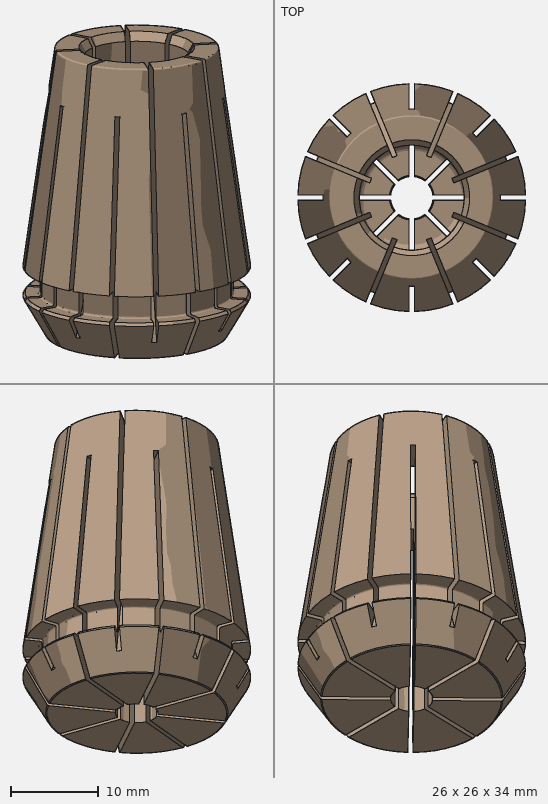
import cadquery as cq
import math

length = 34.0
max_radius = 13.0

nose_half_angle = 30.0
rim_height = 4.6
rim_chamfer = 0.27
nose_edge_chamfer = 0.1

groove_radius = 11.0
groove_bottom = 4.93
groove_top = 8.1
groove_corner_radius = 0.25

taper_half_angle = 8.0
back_edge_radius = 0.25

bore_radius = 2.4
bore_chamfer = 0.15
counterbore_radius = 6.0
counterbore_floor = 19.55
counterbore_corner_radius = 0.75
mouth_radius = 6.6
mouth_depth = 1.02

slot_count = 8
slot_width = 0.58
front_slot_top = 28.53
back_slot_exit_height = 2.25
back_slot_floor_radius = 5.05
cut_margin = 1.7


def nose_radius(height):
    """Outer radius of the nose cone at a height below the rim."""
    return max_radius - (rim_height - height) * math.tan(math.radians(nose_half_angle))


def make_body():
    """Solid collet outline: nose cone, groove and clamping taper."""
    back_radius = max_radius - (length - groove_top) * math.tan(math.radians(taper_half_angle))
    outline = (
        cq.Workplane("XZ")
        .lineTo(nose_radius(0), 0)
        .lineTo(max_radius, rim_height)
        .lineTo(max_radius - rim_chamfer, groove_bottom)
        .lineTo(groove_radius, groove_bottom)
        .lineTo(groove_radius, groove_top)
        .lineTo(max_radius, groove_top)
        .lineTo(back_radius, length)
        .lineTo(0, length)
        .close()
    )
    body = outline.revolve(360, (0, 0, 0), (0, 1, 0))
    body = body.faces("<Z").edges().chamfer(nose_edge_chamfer)
    body = body.faces(">Z").edges().fillet(back_edge_radius)
    box_radius = groove_radius + groove_corner_radius
    groove_core = cq.selectors.BoxSelector(
        (-box_radius, -box_radius, groove_bottom - groove_corner_radius),
        (box_radius, box_radius, groove_top + groove_corner_radius),
        boundingbox=True,
    )
    return body.edges(groove_core).edges("%CIRCLE").fillet(groove_corner_radius)


def make_bore():
    """Through bore with a filleted counterbore and a flared mouth at the back."""
    corner = counterbore_corner_radius
    arc_offset = corner * (1 - math.sqrt(0.5))
    outline = (
        cq.Workplane("XZ")
        .lineTo(bore_radius, 0)
        .lineTo(bore_radius, counterbore_floor - bore_chamfer)
        .lineTo(bore_radius + bore_chamfer, counterbore_floor)
        .lineTo(counterbore_radius - corner, counterbore_floor)
        .threePointArc(
            (counterbore_radius - arc_offset, counterbore_floor + arc_offset),
            (counterbore_radius, counterbore_floor + corner),
        )
        .lineTo(counterbore_radius, length - mouth_depth)
        .lineTo(mouth_radius, length)
        .lineTo(0, length)
        .close()
    )
    return outline.revolve(360, (0, 0, 0), (0, 1, 0))


def make_front_slot():
    """Radial slot cut up from the nose, stopping short of the back face."""
    reach = max_radius + cut_margin
    return cq.Workplane("XY").box(reach, slot_width, front_slot_top, centered=(False, True, False))


def make_back_slot():
    """Radial slot cut down from the back, with a floor that slopes outward to the nose cone."""
    exit_radius = nose_radius(back_slot_exit_height)
    floor_slope = (back_slot_floor_radius - exit_radius) / (counterbore_floor - back_slot_exit_height)

    def floor_radius(height):
        return exit_radius + (height - back_slot_exit_height) * floor_slope

    reach = max_radius + cut_margin
    outline = [
        (exit_radius, back_slot_exit_height),
        (reach, back_slot_exit_height),
        (reach, length),
        (floor_radius(length), length),
    ]
    return cq.Workplane("XZ").polyline(outline).close().extrude(slot_width / 2, both=True)


slot_pitch = 360 / slot_count
result = make_body().cut(make_bore())
for index in range(slot_count):
    angle = index * slot_pitch
    result = result.cut(make_front_slot().rotate((0, 0, 0), (0, 0, 1), angle))
    result = result.cut(make_back_slot().rotate((0, 0, 0), (0, 0, 1), angle + slot_pitch / 2))